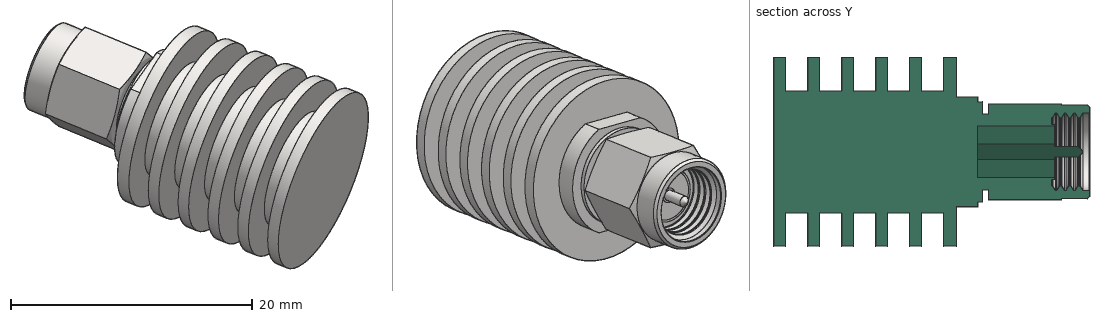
import cadquery as cq
import math


LENGTH = 26.2
FIN_DIAMETER = 15.7
FIN_COUNT = 6
FIN_THICKNESS = 1.0
FRONT_FIN_X = 11.03
FRONT_FIN_THICKNESS = 1.1
FIN_PITCH = (LENGTH - FRONT_FIN_X - FRONT_FIN_THICKNESS) / (FIN_COUNT - 1)
CORE_RADIUS = 5.08

FLANGE_X = 9.27
FLANGE_FLATS = 9.12
COLLAR_X = 8.88
COLLAR_RADIUS = 4.17
NECK_RADIUS = 3.17

HEX_FLATS = 7.96
HEX_X = 2.33
HEX_END_X = 8.4
HEX_BEVEL_ANGLE = 15.0
SLEEVE_RADIUS = 3.9
SLEEVE_CHAMFER = 0.2

BORE_RADIUS = 3.2
MOUTH_CHAMFER = 0.05
THREAD_X = 0.58
THREAD_PITCH = 0.75
CREST_COUNT = 4
FLANK_LENGTH = 0.2
CREST_SHOULDER_RADIUS = 2.85
CREST_RADIUS = 2.8
CREST_BEVEL_LENGTH = 0.08
CREST_FLAT_LENGTH = 0.08
BORE_END_X = THREAD_X + (CREST_COUNT - 1) * THREAD_PITCH + FLANK_LENGTH + CREST_BEVEL_LENGTH

CONTACT_FACE_X = 2.9
TUBE_RADIUS = 2.3
DIELECTRIC_RADIUS = 2.12
CONTACT_RADIUS = 0.63
PIN_RADIUS = 0.92 / 2
PIN_TIP_X = 0.52
PIN_TIP_LENGTH = 0.4
CONTACT_END_X = FLANGE_X


def cylinder(start_x, end_x, radius):
    """Solid cylinder on the X axis."""
    plane = cq.Plane(origin=(start_x, 0, 0), xDir=(0, -1, 0), normal=(1, 0, 0))
    return cq.Workplane(plane).circle(radius).extrude(end_x - start_x)


def revolved(points):
    """Solid of revolution about the X axis from (x, radius) points."""
    return cq.Workplane("XZ").polyline(points).close().revolve(360, (0, 0), (1, 0))


def make_heat_sink():
    """Core with evenly spaced fins; the front fin is slightly thicker and meets the flange."""
    heat_sink = cylinder(FRONT_FIN_X, LENGTH, CORE_RADIUS)
    for index in range(FIN_COUNT):
        end_x = LENGTH - index * FIN_PITCH
        is_front_fin = index == FIN_COUNT - 1
        thickness = FRONT_FIN_THICKNESS if is_front_fin else FIN_THICKNESS
        start_x = end_x - thickness
        heat_sink = heat_sink.union(cylinder(start_x, end_x, FIN_DIAMETER / 2))
    return heat_sink


def make_flange():
    """Continuation of the core with flats at the top and bottom."""
    length = FRONT_FIN_X - FLANGE_X
    slab = cq.Workplane("XY").box(length, 2 * CORE_RADIUS, FLANGE_FLATS)
    slab = slab.translate((FLANGE_X + length / 2, 0, 0))
    return cylinder(FLANGE_X, FRONT_FIN_X, CORE_RADIUS).intersect(slab)


def make_nut_outside():
    """Hexagon with conically bevelled corners at both ends, and a chamfered round sleeve in front."""
    corner_diameter = HEX_FLATS / math.cos(math.pi / 6)
    hexagon = cq.Workplane("YZ", origin=(HEX_X, 0, 0)).polygon(6, corner_diameter).extrude(HEX_END_X - HEX_X)
    flat_radius = HEX_FLATS / 2
    outer_radius = corner_diameter
    bevel_length = (outer_radius - flat_radius) * math.tan(math.radians(HEX_BEVEL_ANGLE))
    bevel_envelope = revolved([
        (HEX_X, 0),
        (HEX_X, flat_radius),
        (HEX_X + bevel_length, outer_radius),
        (HEX_END_X - bevel_length, outer_radius),
        (HEX_END_X, flat_radius),
        (HEX_END_X, 0),
    ])
    sleeve = cylinder(0, HEX_END_X, SLEEVE_RADIUS).faces("<X").chamfer(SLEEVE_CHAMFER)
    return hexagon.intersect(bevel_envelope).union(sleeve)


def make_threaded_bore():
    """Space inside the nut: a chamfered mouth, a plain entry, then ring-shaped thread crests."""
    points = [
        (0, 0),
        (0, BORE_RADIUS + MOUTH_CHAMFER),
        (MOUTH_CHAMFER, BORE_RADIUS),
    ]
    for index in range(CREST_COUNT):
        root_x = THREAD_X + index * THREAD_PITCH
        shoulder_x = root_x + FLANK_LENGTH
        flat_x = shoulder_x + CREST_BEVEL_LENGTH
        points += [
            (root_x, BORE_RADIUS),
            (shoulder_x, CREST_SHOULDER_RADIUS),
            (flat_x, CREST_RADIUS),
        ]
        if index < CREST_COUNT - 1:
            flat_end_x = flat_x + CREST_FLAT_LENGTH
            back_shoulder_x = flat_end_x + CREST_BEVEL_LENGTH
            points += [
                (flat_end_x, CREST_RADIUS),
                (back_shoulder_x, CREST_SHOULDER_RADIUS),
                (back_shoulder_x + FLANK_LENGTH, BORE_RADIUS),
            ]
    points.append((BORE_END_X, 0))
    return revolved(points)


def make_housing():
    """Heat sink, flange, neck, nut and outer contact tube in one piece."""
    housing = make_heat_sink().union(make_flange())
    housing = housing.union(cylinder(COLLAR_X, FLANGE_X, COLLAR_RADIUS))
    housing = housing.union(cylinder(HEX_X, COLLAR_X, NECK_RADIUS))
    housing = housing.union(make_nut_outside())
    housing = housing.cut(make_threaded_bore())
    housing = housing.union(cylinder(CONTACT_FACE_X, COLLAR_X, TUBE_RADIUS))
    return housing.cut(cylinder(CONTACT_FACE_X, CONTACT_END_X, DIELECTRIC_RADIUS))


def make_dielectric():
    """Insulating ring that fills the tube around the centre contact."""
    ring = cylinder(CONTACT_FACE_X, CONTACT_END_X, DIELECTRIC_RADIUS)
    return ring.cut(cylinder(CONTACT_FACE_X, CONTACT_END_X, CONTACT_RADIUS))


def make_centre_contact():
    """Round contact stepping down to a pin with a conical tip."""
    return revolved([
        (PIN_TIP_X, 0),
        (PIN_TIP_X + PIN_TIP_LENGTH, PIN_RADIUS),
        (CONTACT_FACE_X, PIN_RADIUS),
        (CONTACT_FACE_X, CONTACT_RADIUS),
        (CONTACT_END_X, CONTACT_RADIUS),
        (CONTACT_END_X, 0),
    ])


housing = make_housing()
dielectric = make_dielectric()
centre_contact = make_centre_contact()

result = cq.Compound.makeCompound([housing.val(), dielectric.val(), centre_contact.val()])